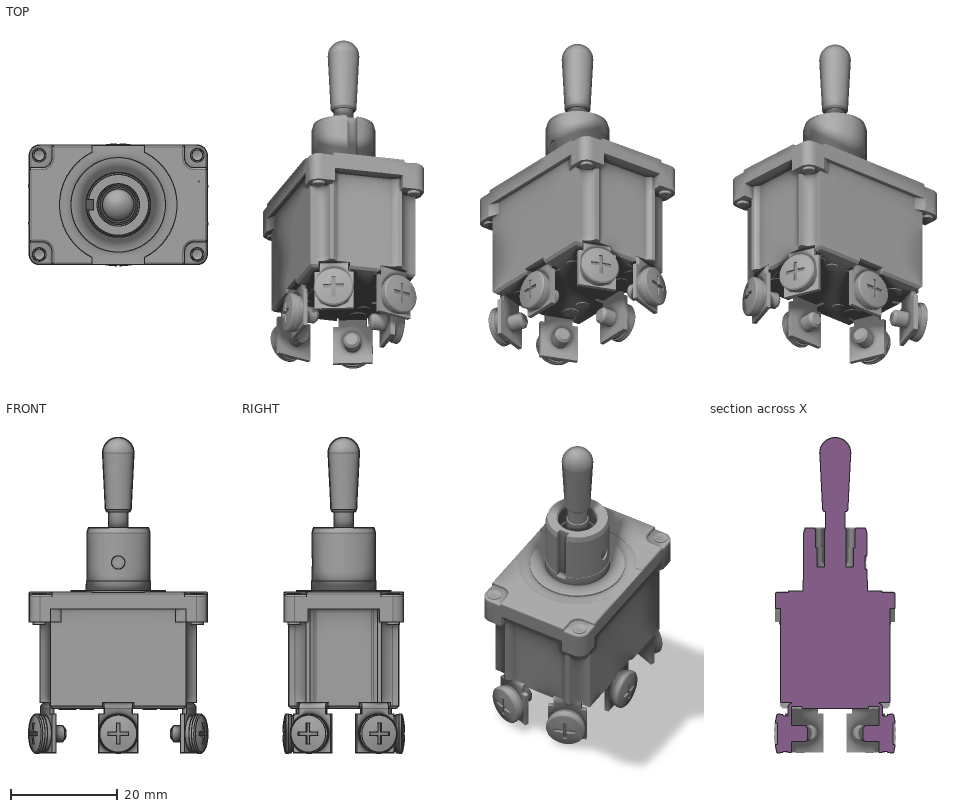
import cadquery as cq
import math


COVER_X = 33.55
COVER_Y = 22.55
CORNER_RADIUS = 2.0
EDGE_ROUND = 0.35
WINDOW_TOP = -3.2
SKIRT_BOTTOM = -5.7
POCKET_SIZE = 4.3
POCKET_RADIUS = 1.8
POCKET_FLOOR = -0.55
RECESS_RADIUS = 11.05
RECESS_WIDTH = 9.8
RECESS_DEPTH = 0.1

CASE_X = 29.5
CASE_Y = 20.7
CASE_BOTTOM = -21.95
CASE_BOTTOM_ROUND = 0.5
FRONT_FACE_X = 25.6
NOTCH_CENTRE_Y = 9.15
NOTCH_RADIUS = 2.1
END_RECESS_TOP_Y = 12.7
END_RECESS_FLOOR_Y = 10.85
END_RECESS_DEPTH = 0.7
END_RECESS_FILLET = 0.65

FRONT_WINDOW_OUTER_X = 25.5
FRONT_WINDOW_INNER_X = 21.55
END_WINDOW_Y = 13.4

RIVET_X = 14.9
RIVET_Y = 9.35
RIVET_HEAD_DIAMETER = 2.55
RIVET_HEAD_HEIGHT = 0.25
RIVET_DIMPLE_DIAMETER = 2.0
RIVET_DIMPLE_RADIUS = 2.6
RIVET_TAIL_DIAMETER = 2.4
RIVET_TAIL_HEIGHT = 0.5

FLANGE_DIAMETER = 17.8
FLANGE_HEIGHT = 0.25
BUSHING_BASE_DIAMETER = 12.2
BUSHING_BASE_TOP = 2.1
BUSHING_DIAMETER = 12.0
BUSHING_TOP = 12.1
BUSHING_TOP_DIAMETER = 11.4
BUSHING_BEVEL_HEIGHT = 1.0
BORE_MOUTH_DIAMETER = 8.0
BORE_DIAMETER = 7.45
BORE_LOWER_DIAMETER = 6.8
BORE_STEP = 8.35
BORE_FLOOR = 4.75
KEYWAY_WIDTH = 2.0
KEYWAY_BOTTOM = 1.4
KEYWAY_FLOOR_X = 4.7
PIN_HOLE_DIAMETER = 2.5
PIN_HOLE_Z = 5.55
PIN_HOLE_DEPTH = 0.35

COLLAR_DIAMETER = 4.1
COLLAR_TOP = 11.9
STEM_DIAMETER = 3.7
HANDLE_BOTTOM = 15.05
HANDLE_FOOT_DIAMETER = 4.3
HANDLE_FOOT_TOP = 15.5
HANDLE_LOWER_DIAMETER = 4.9
BALL_RADIUS = 3.0
LEVER_TOP = 29.1

BLADE_WIDTH = 7.4
BLADE_THICKNESS = 0.85
BLADE_TOP = -23.0
BLADE_BOTTOM = -30.3
SCREW_Z = -26.69
TAB_WIDTH = 5.3
TAB_TOP = -20.8
TAB_BEND_RADIUS = 1.15
TAB_LEG_LENGTH = 2.7
SLOT_WIDTH = 5.9
SLOT_REACH = 1.8
CENTRE_BLADE_Y = 9.0
SIDE_BLADE_X = 13.75
SIDE_BLADE_Y = 5.95
SIDE_BLADE_ANGLE = 20.0

SCREW_WASHER_DIAMETER = 6.8
SCREW_WASHER_THICKNESS = 0.85
SCREW_HEAD_DIAMETER = 7.45
SCREW_FACE_DIAMETER = 6.95
SCREW_HEAD_EDGE = 1.85
SCREW_FACE_EDGE = 2.1
SCREW_HEAD_TOP = 2.5
LOCK_WASHER_DIAMETER = 7.25
LOCK_WASHER_TOP = 1.35
SHANK_DIAMETER = 3.1
SHANK_LENGTH = 3.0
SHANK_CHAMFER = 0.5
CROSS_LENGTH = 3.9
CROSS_WIDTH = 0.7
CROSS_DEPTH = 0.55

PADS = [(9.5, 3.2), (5.95, 2.55)]
PAD_Y = 5.8
PAD_HEIGHT = 0.2

CORNERS = [(sx, sy) for sx in (-1, 1) for sy in (-1, 1)]


def block(x_size, y_size, bottom, top):
    """Box centred on the Z axis between two heights."""
    return cq.Workplane("XY").workplane(offset=bottom).rect(x_size, y_size).extrude(top - bottom)


def cylinder(diameter, bottom, top):
    """Upright cylinder on the Z axis between two heights."""
    return cq.Workplane("XY").workplane(offset=bottom).circle(diameter / 2).extrude(top - bottom)


def rounded_block(bottom, top):
    """Cover outline with rounded vertical corners."""
    return block(COVER_X, COVER_Y, bottom, top).edges("|Z").fillet(CORNER_RADIUS)


def make_cover():
    pockets = cq.Workplane("XY")
    for sx, sy in CORNERS:
        column = block(2 * POCKET_SIZE, 2 * POCKET_SIZE, SKIRT_BOTTOM, 0.6).edges("|Z").fillet(POCKET_RADIUS)
        pockets = pockets.add(column.translate((sx * COVER_X / 2, sy * COVER_Y / 2, 0)))
    pockets = pockets.combine()

    cover = rounded_block(SKIRT_BOTTOM, 0).cut(pockets)
    cover = cover.faces(">Z").edges().fillet(EDGE_ROUND)
    corner_posts = rounded_block(SKIRT_BOTTOM, POCKET_FLOOR)
    corner_posts = corner_posts.faces(">Z").edges().fillet(EDGE_ROUND).intersect(pockets)
    cover = cover.union(corner_posts)

    recess = cylinder(2 * RECESS_RADIUS, -RECESS_DEPTH, 0.6)
    recess = recess.union(block(RECESS_WIDTH, 2 * COVER_Y, -RECESS_DEPTH, 0.6))
    return cover.cut(recess)


def cut_skirt_windows(cover):
    window_height = WINDOW_TOP - SKIRT_BOTTOM
    front_window = (
        cq.Workplane("XY").workplane(offset=SKIRT_BOTTOM)
        .moveTo(-FRONT_WINDOW_OUTER_X / 2, -COVER_Y / 2)
        .lineTo(FRONT_WINDOW_OUTER_X / 2, -COVER_Y / 2)
        .lineTo(FRONT_WINDOW_INNER_X / 2, -CASE_Y / 2)
        .lineTo(-FRONT_WINDOW_INNER_X / 2, -CASE_Y / 2)
        .close().extrude(window_height)
    )
    end_window = block(2 * COVER_X, END_WINDOW_Y, SKIRT_BOTTOM, WINDOW_TOP)
    return cover.cut(front_window).cut(front_window.mirror("XZ")).cut(end_window)


def make_case():
    case = block(CASE_X, CASE_Y, CASE_BOTTOM, WINDOW_TOP)

    corner_x = FRONT_FACE_X / 2
    for sx, sy in CORNERS:
        notch = (
            cq.Workplane("XY").workplane(offset=CASE_BOTTOM)
            .moveTo(sx * corner_x, sy * COVER_Y)
            .lineTo(sx * corner_x, sy * NOTCH_CENTRE_Y)
            .radiusArc((sx * CASE_X / 2, sy * (NOTCH_CENTRE_Y - NOTCH_RADIUS)), -sx * sy * NOTCH_RADIUS)
            .lineTo(sx * COVER_X, sy * (NOTCH_CENTRE_Y - NOTCH_RADIUS))
            .lineTo(sx * COVER_X, sy * COVER_Y)
            .close().extrude(WINDOW_TOP - CASE_BOTTOM)
        )
        case = case.cut(notch)

    for sx in (-1, 1):
        recess_floor_x = sx * (CASE_X / 2 - END_RECESS_DEPTH)
        end_recess = (
            cq.Workplane("XY").workplane(offset=CASE_BOTTOM)
            .moveTo(sx * CASE_X / 2, -END_RECESS_TOP_Y / 2)
            .lineTo(recess_floor_x, -END_RECESS_FLOOR_Y / 2)
            .lineTo(recess_floor_x, END_RECESS_FLOOR_Y / 2)
            .lineTo(sx * CASE_X / 2, END_RECESS_TOP_Y / 2)
            .close().extrude(WINDOW_TOP - CASE_BOTTOM)
        )
        floor_edges = "|Z and >X" if sx < 0 else "|Z and <X"
        case = case.cut(end_recess.edges(floor_edges).fillet(END_RECESS_FILLET))
    case = case.faces("<Z").edges().chamfer(CASE_BOTTOM_ROUND)

    for sx, sy in CORNERS:
        for pad_x, pad_diameter in PADS:
            pad = cylinder(pad_diameter, CASE_BOTTOM - PAD_HEIGHT, CASE_BOTTOM)
            case = case.union(pad.translate((sx * pad_x, sy * PAD_Y, 0)))
    return case


def make_rivet():
    """Dimpled head in the cover pocket, with the tail below the skirt."""
    head_top = POCKET_FLOOR + RIVET_HEAD_HEIGHT
    dimple_edge = RIVET_DIMPLE_DIAMETER / 2
    dimple_depth = RIVET_DIMPLE_RADIUS - math.sqrt(RIVET_DIMPLE_RADIUS**2 - dimple_edge**2)
    return (
        cq.Workplane("XZ")
        .moveTo(0, SKIRT_BOTTOM - RIVET_TAIL_HEIGHT)
        .lineTo(RIVET_TAIL_DIAMETER / 2, SKIRT_BOTTOM - RIVET_TAIL_HEIGHT)
        .lineTo(RIVET_TAIL_DIAMETER / 2, POCKET_FLOOR)
        .lineTo(RIVET_HEAD_DIAMETER / 2, POCKET_FLOOR)
        .lineTo(RIVET_HEAD_DIAMETER / 2, head_top)
        .lineTo(dimple_edge, head_top)
        .radiusArc((0, head_top - dimple_depth), RIVET_DIMPLE_RADIUS)
        .close().revolve(360, (0, 0, 0), (0, 1, 0))
    )


def make_bushing():
    bushing = cylinder(FLANGE_DIAMETER, WINDOW_TOP, FLANGE_HEIGHT)
    bushing = bushing.union(cylinder(BUSHING_BASE_DIAMETER, 0, BUSHING_BASE_TOP))
    rim_inset = (BUSHING_DIAMETER - BUSHING_TOP_DIAMETER) / 2
    barrel = cylinder(BUSHING_DIAMETER, 0, BUSHING_TOP)
    barrel = barrel.faces(">Z").edges().chamfer(BUSHING_BEVEL_HEIGHT, rim_inset)
    bushing = bushing.union(barrel)

    bore = cylinder(BORE_DIAMETER, BORE_STEP, BUSHING_TOP)
    bore = bore.union(cylinder(BORE_LOWER_DIAMETER, BORE_FLOOR, BUSHING_TOP))
    bushing = bushing.cut(bore)
    mouth_chamfer = (BORE_MOUTH_DIAMETER - BORE_DIAMETER) / 2
    bushing = bushing.faces(">Z").edges("%CIRCLE").edges(cq.selectors.RadiusNthSelector(0)).chamfer(mouth_chamfer)

    keyway_length = BUSHING_DIAMETER
    keyway = block(keyway_length, KEYWAY_WIDTH, KEYWAY_BOTTOM, BUSHING_TOP)
    keyway = keyway.translate((-KEYWAY_FLOOR_X - keyway_length / 2, 0, 0))
    pin_hole = (
        cq.Workplane("XZ", origin=(0, -BUSHING_DIAMETER / 2 + PIN_HOLE_DEPTH, PIN_HOLE_Z))
        .circle(PIN_HOLE_DIAMETER / 2).extrude(BUSHING_DIAMETER)
    )
    return bushing.cut(keyway).cut(pin_hole)


def make_lever():
    ball_z = LEVER_TOP - BALL_RADIUS
    ball_side = BALL_RADIUS * math.sqrt(0.5)
    return (
        cq.Workplane("XZ")
        .moveTo(0, WINDOW_TOP)
        .lineTo(COLLAR_DIAMETER / 2, WINDOW_TOP)
        .lineTo(COLLAR_DIAMETER / 2, COLLAR_TOP)
        .lineTo(STEM_DIAMETER / 2, COLLAR_TOP)
        .lineTo(STEM_DIAMETER / 2, HANDLE_BOTTOM)
        .lineTo(HANDLE_FOOT_DIAMETER / 2, HANDLE_BOTTOM)
        .lineTo(HANDLE_LOWER_DIAMETER / 2, HANDLE_FOOT_TOP)
        .lineTo(BALL_RADIUS, ball_z)
        .threePointArc((ball_side, ball_z + ball_side), (0, LEVER_TOP))
        .close().revolve(360, (0, 0, 0), (0, 1, 0))
    )


def make_screw():
    """Terminal screw on the X axis with its head toward +X; X = 0 is the blade's outer face."""
    screw = (
        cq.Workplane("XY")
        .moveTo(-BLADE_THICKNESS - SHANK_LENGTH, 0)
        .lineTo(-BLADE_THICKNESS - SHANK_LENGTH, SHANK_DIAMETER / 2 - SHANK_CHAMFER)
        .lineTo(-BLADE_THICKNESS - SHANK_LENGTH + SHANK_CHAMFER, SHANK_DIAMETER / 2)
        .lineTo(0, SHANK_DIAMETER / 2)
        .lineTo(0, SCREW_WASHER_DIAMETER / 2)
        .lineTo(SCREW_WASHER_THICKNESS, SCREW_WASHER_DIAMETER / 2)
        .lineTo(SCREW_WASHER_THICKNESS, LOCK_WASHER_DIAMETER / 2)
        .lineTo(LOCK_WASHER_TOP, LOCK_WASHER_DIAMETER / 2)
        .lineTo(LOCK_WASHER_TOP, SCREW_HEAD_DIAMETER / 2)
        .lineTo(SCREW_HEAD_EDGE, SCREW_HEAD_DIAMETER / 2)
        .lineTo(SCREW_FACE_EDGE, SCREW_FACE_DIAMETER / 2)
        .radiusArc((SCREW_HEAD_TOP, 0), dome_radius())
        .close().revolve(360, (0, 0, 0), (1, 0, 0))
    )
    cross_floor = cq.Workplane("YZ", origin=(SCREW_HEAD_TOP - CROSS_DEPTH, 0, 0))
    screw = screw.cut(cross_floor.rect(CROSS_LENGTH, CROSS_WIDTH).extrude(CROSS_DEPTH))
    return screw.cut(cross_floor.rect(CROSS_WIDTH, CROSS_LENGTH).extrude(CROSS_DEPTH))


def dome_radius():
    """Radius of the screw head's dome, from its face edge and its height."""
    rim = SCREW_FACE_DIAMETER / 2
    rise = SCREW_HEAD_TOP - SCREW_FACE_EDGE
    return (rim**2 + rise**2) / (2 * rise)


def make_terminal():
    """Bent blade and its screw, facing +X; X = 0 is the blade's outer face."""
    blade = block(BLADE_THICKNESS, BLADE_WIDTH, BLADE_BOTTOM, BLADE_TOP)
    blade = blade.translate((-BLADE_THICKNESS / 2, 0, 0))
    tab = block(TAB_LEG_LENGTH, TAB_WIDTH, BLADE_TOP, TAB_TOP)
    tab = tab.translate((-TAB_LEG_LENGTH / 2, 0, 0)).edges(">X and >Z").fillet(TAB_BEND_RADIUS)
    below_leg = block(TAB_LEG_LENGTH, TAB_WIDTH, BLADE_TOP, TAB_TOP - BLADE_THICKNESS)
    tab = tab.cut(below_leg.translate((-BLADE_THICKNESS - TAB_LEG_LENGTH / 2, 0, 0)))
    return blade.union(tab).union(make_screw().translate((0, 0, SCREW_Z)))


def make_slot():
    """Opening in the case's lower edge around one terminal tab."""
    length = TAB_LEG_LENGTH + SLOT_REACH
    slot = block(length, SLOT_WIDTH, CASE_BOTTOM, TAB_TOP)
    return slot.translate((length / 2 - TAB_LEG_LENGTH, 0, 0))


def place_terminal(shape, x, y, angle):
    return shape.rotate((0, 0, 0), (0, 0, 1), angle).translate((x, y, 0))


TERMINALS = [(0, sy * CENTRE_BLADE_Y, sy * 90) for sy in (-1, 1)]
for sx, sy in CORNERS:
    facing = sy * (SIDE_BLADE_ANGLE if sx > 0 else 180 - SIDE_BLADE_ANGLE)
    TERMINALS.append((sx * SIDE_BLADE_X, sy * SIDE_BLADE_Y, facing))

case = make_case()
for placement in TERMINALS:
    case = case.cut(place_terminal(make_slot(), *placement))

result = cut_skirt_windows(make_cover()).union(case).union(make_bushing()).union(make_lever())
for sx, sy in CORNERS:
    result = result.union(make_rivet().translate((sx * RIVET_X, sy * RIVET_Y, 0)))
for placement in TERMINALS:
    result = result.union(place_terminal(make_terminal(), *placement))